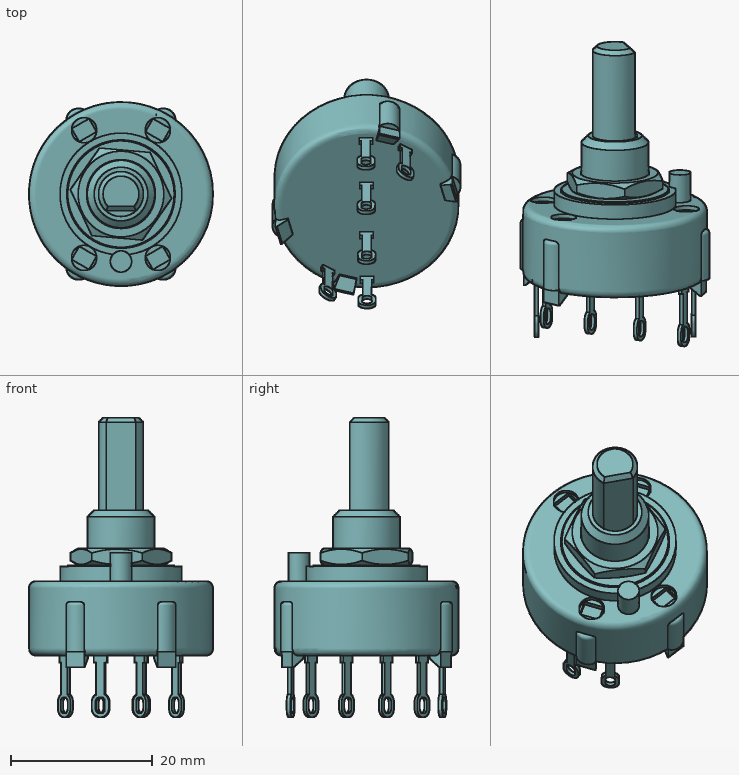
import cadquery as cq
import math

OVERALL_HEIGHT = 42.3
BODY_BOTTOM = 8.7
BODY_TOP = 19.25
BOSS_TOP = 21.3
BUSHING_TOP = 29.27
STOP_PIN_TOP = 23.25

BODY_DIAMETER = 26.0
BODY_FLAT_DIAMETER = 24.0
EDGE_ROUND = (BODY_DIAMETER - BODY_FLAT_DIAMETER) / 2
BOSS_DIAMETER = 17.2

BUSHING_DIAMETER = 9.5
BUSHING_CHAMFER = 0.97
BUSHING_BORE_DEPTH = 2.1
SHAFT_BOTTOM = BUSHING_TOP - BUSHING_BORE_DEPTH
SHAFT_DIAMETER = 6.35
SHAFT_FLAT_OFFSET = 2.35
SHAFT_CHAMFER = 0.65

STOP_PIN_DIAMETER = 3.0
STOP_PIN_OFFSET = 9.5

WASHER_DIAMETER = 15.0
WASHER_BORE = 10.32
WASHER_THICKNESS = 0.85
WASHER_PROTRUSION = 0.15
GROOVE_DIAMETER = 15.3
COLLAR_DIAMETER = 10.25
WASHER_BOTTOM = BOSS_TOP + WASHER_PROTRUSION - WASHER_THICKNESS

NUT_ACROSS_CORNERS = 14.35
NUT_HEIGHT = 2.35
NUT_BORE = 9.75
NUT_FACE_DIAMETER = 12.1
NUT_CHAMFER_ANGLE = 30.0
NUT_TURN = -5.0
NUT_BOTTOM = BOSS_TOP + WASHER_PROTRUSION

LUG_ANGLE = 60
LUG_DIAMETER = 3.55
LUG_CENTRE = 11.93
LUG_TOP = 16.33
LUG_BOTTOM = 9.25
LUG_ROUND = 0.5
LEG_FACE = 12.95
LEG_INNER_FACE = 11.1
LEG_SIDE_TAPER = 0.42
LEG_BOTTOM = 7.05
LEG_TIP_THICKNESS = 0.25
LEG_SLOPE_TOP = 8.35
POCKET_CENTRE = 10.4
POCKET_DIAMETER = 3.55
POCKET_DEPTH = 0.6
SLOT_LENGTH = 2.85
SLOT_DEPTH = 1.35

TERMINAL_PLACES = (
    (11.1, 45),
    (11.1, 75),
    (3.98, 45),
    (11.1, 225),
    (11.1, 255),
    (3.98, 225),
)
TERMINAL_THICKNESS = 0.55
EYE_WIDTH = 2.5
EYE_HEIGHT = 3.43
EYE_HOLE_WIDTH = 1.4
EYE_HOLE_HEIGHT = 2.3
NECK_WIDTH = 1.25
SHOULDER_WIDTH = 1.9
SHOULDER_BOTTOM = 7.75

EMBED = 0.85


def cylinder(diameter, bottom, top):
    return cq.Workplane("XY").workplane(offset=bottom).circle(diameter / 2).extrude(top - bottom)


def around_axis(shape, angle):
    return shape.rotate((0, 0, 0), (0, 0, 1), angle)


def case_body():
    drum = cylinder(BODY_DIAMETER, BODY_BOTTOM, BODY_TOP).edges().fillet(EDGE_ROUND)
    boss = cylinder(BOSS_DIAMETER, BODY_TOP - EMBED, BOSS_TOP)
    stop_pin = cylinder(STOP_PIN_DIAMETER, BODY_TOP - EMBED, STOP_PIN_TOP)
    groove = cylinder(GROOVE_DIAMETER, WASHER_BOTTOM, BOSS_TOP)
    groove = groove.cut(cylinder(COLLAR_DIAMETER, WASHER_BOTTOM, BOSS_TOP))
    return drum.union(boss).cut(groove).union(stop_pin.translate((0, -STOP_PIN_OFFSET, 0)))


def bushing():
    sleeve = cylinder(BUSHING_DIAMETER, BOSS_TOP - EMBED, BUSHING_TOP)
    sleeve = sleeve.faces(">Z").chamfer(BUSHING_CHAMFER)
    return sleeve.cut(cylinder(SHAFT_DIAMETER, SHAFT_BOTTOM, BUSHING_TOP))


def shaft():
    """Shaft with its flat towards -Y; the flat runs down to the bottom of the bushing bore."""
    rod = cylinder(SHAFT_DIAMETER, SHAFT_BOTTOM, OVERALL_HEIGHT)
    kept_depth = SHAFT_DIAMETER / 2 + SHAFT_FLAT_OFFSET
    kept = (
        cq.Workplane("XY")
        .workplane(offset=SHAFT_BOTTOM)
        .center(0, kept_depth / 2 - SHAFT_FLAT_OFFSET)
        .rect(SHAFT_DIAMETER, kept_depth)
        .extrude(OVERALL_HEIGHT - SHAFT_BOTTOM)
    )
    return rod.intersect(kept).faces(">Z").chamfer(SHAFT_CHAMFER)


def lug():
    """Round rib on the case wall, its axis on +X."""
    rib = cylinder(LUG_DIAMETER, LUG_BOTTOM, LUG_TOP).faces(">Z").edges().fillet(LUG_ROUND)
    return rib.translate((LUG_CENTRE, 0, 0))


def snap_leg():
    """Wedge under a lug, its flat face towards +X and its +Y side tapered."""
    face_half_width = math.sqrt((LUG_DIAMETER / 2) ** 2 - (LEG_FACE - LUG_CENTRE) ** 2)
    plan = (
        cq.Workplane("XY")
        .workplane(offset=LEG_BOTTOM)
        .polyline([
            (LEG_FACE, -face_half_width),
            (LEG_FACE, face_half_width),
            (LEG_INNER_FACE, face_half_width - LEG_SIDE_TAPER),
            (LEG_INNER_FACE, -face_half_width),
        ])
        .close()
        .extrude(LUG_BOTTOM - LEG_BOTTOM)
    )
    profile = (
        cq.Workplane("XZ")
        .polyline([
            (LEG_FACE, LEG_BOTTOM),
            (LEG_FACE, LUG_BOTTOM),
            (LEG_INNER_FACE, LUG_BOTTOM),
            (LEG_INNER_FACE, LEG_SLOPE_TOP),
            (LEG_FACE - LEG_TIP_THICKNESS, LEG_BOTTOM),
        ])
        .close()
        .extrude(face_half_width, both=True)
    )
    return plan.intersect(profile)


def lug_pocket():
    """Round recess on +X with a rectangular slot in its floor, the slot corners on the recess wall."""
    slot_width = math.sqrt(POCKET_DIAMETER**2 - SLOT_LENGTH**2)
    recess = cylinder(POCKET_DIAMETER, BODY_TOP - POCKET_DEPTH, BODY_TOP)
    slot = (
        cq.Workplane("XY")
        .workplane(offset=BODY_TOP - SLOT_DEPTH)
        .rect(slot_width, SLOT_LENGTH)
        .extrude(SLOT_DEPTH)
    )
    return recess.union(slot).translate((POCKET_CENTRE, 0, 0))


def terminal():
    """Flat tag with an eye, standing across the X axis."""
    top = BODY_BOTTOM + EMBED
    eye_centre = EYE_HEIGHT / 2
    at_eye = cq.Workplane("YZ").center(0, eye_centre)

    def plate(outline):
        return outline.extrude(TERMINAL_THICKNESS / 2, both=True)

    def strip(width, bottom):
        return plate(cq.Workplane("YZ").center(0, (bottom + top) / 2).rect(width, top - bottom))

    eye = plate(at_eye.slot2D(EYE_HEIGHT, EYE_WIDTH, 90))
    eye_hole = plate(at_eye.slot2D(EYE_HOLE_HEIGHT, EYE_HOLE_WIDTH, 90))
    neck = strip(NECK_WIDTH, eye_centre)
    shoulder = strip(SHOULDER_WIDTH, SHOULDER_BOTTOM)
    return eye.union(neck).union(shoulder).cut(eye_hole)


def switch_body():
    """Case with its bushing, shaft, lugs and terminals."""
    body = case_body().union(bushing()).union(shaft())
    right_clip = around_axis(lug().union(snap_leg()), LUG_ANGLE)
    right_pocket = around_axis(lug_pocket(), LUG_ANGLE)
    for half_turn in (0, 180):
        for clip in (right_clip, right_clip.mirror("YZ")):
            body = body.union(around_axis(clip, half_turn))
        for pocket in (right_pocket, right_pocket.mirror("YZ")):
            body = body.cut(around_axis(pocket, half_turn))
    for distance, angle in TERMINAL_PLACES:
        body = body.union(around_axis(terminal().translate((distance, 0, 0)), angle))
    return body


def washer_ring():
    """Flat ring lying in the groove of the boss and standing slightly proud of it."""
    washer_top = WASHER_BOTTOM + WASHER_THICKNESS
    ring = cylinder(WASHER_DIAMETER, WASHER_BOTTOM, washer_top)
    return ring.cut(cylinder(WASHER_BORE, WASHER_BOTTOM, washer_top))


def hex_nut():
    """Hexagon with its corners bevelled by a cone at both ends."""
    face_radius = NUT_FACE_DIAMETER / 2
    corner_radius = NUT_ACROSS_CORNERS / 2
    bevel = (corner_radius - face_radius) * math.tan(math.radians(NUT_CHAMFER_ANGLE))
    hexagon = cq.Workplane("XY").polygon(6, NUT_ACROSS_CORNERS).extrude(NUT_HEIGHT)
    bevelled_disc = (
        cq.Workplane("XZ")
        .polyline([
            (0, 0),
            (face_radius, 0),
            (corner_radius, bevel),
            (corner_radius, NUT_HEIGHT - bevel),
            (face_radius, NUT_HEIGHT),
            (0, NUT_HEIGHT),
        ])
        .close()
        .revolve(360, (0, 0, 0), (0, 1, 0))
    )
    blank = hexagon.intersect(bevelled_disc).cut(cylinder(NUT_BORE, 0, NUT_HEIGHT))
    return around_axis(blank, NUT_TURN).translate((0, 0, NUT_BOTTOM))


switch = switch_body()
washer = washer_ring()
nut = hex_nut()

result = cq.Compound.makeCompound([switch.val(), washer.val(), nut.val()])